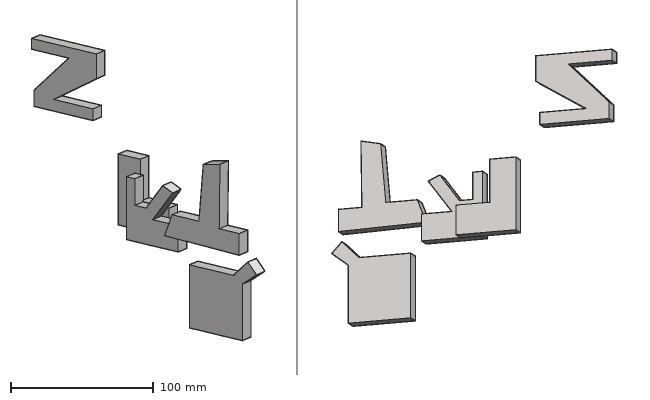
import cadquery as cq

thickness = 10.0


def plate(outline, x, y, z):
    """Extrude a closed XZ outline towards +Y and move its origin to (x, y, z)."""
    body = cq.Workplane("XZ").polyline(outline).close().extrude(-thickness)
    return body.translate((x, y, z))


def make_z_plate():
    """Z-shaped plate: two bars joined by a tapering diagonal."""
    width = 57.0
    height = 50.0
    top_bar = 8.0
    bottom_bar = 8.7
    foot_left = 2.2
    foot_right = 54.0
    left_shoulder = 12.0
    right_shoulder = 31.5
    upper_notch = 32.5
    lower_notch = 19.5
    outline = [
        (foot_left, 0),
        (foot_right, 0),
        (foot_right, bottom_bar),
        (lower_notch, bottom_bar),
        (width, right_shoulder),
        (width, height),
        (0, height),
        (0, height - top_bar),
        (upper_notch, height - top_bar),
        (foot_left, left_shoulder),
    ]
    return plate(outline, x=0, y=55.8, z=124.0)


def make_l_plate():
    """L-shaped plate: a tall post with a foot to the right."""
    width = 44.5
    height = 52.7
    post_width = 19.5
    foot_height = 21.5
    outline = [
        (0, 0),
        (width, 0),
        (width, foot_height),
        (post_width, foot_height),
        (post_width, height),
        (0, height),
    ]
    return plate(outline, x=67.7, y=67.0, z=46.5)


def make_k_plate():
    """K-shaped plate: a narrow post, a broad base and a slanted arm."""
    width = 45.5
    height = 46.6
    post_width = 7.5
    base_height = 19.5
    saddle_height = 27.0
    arm_root_left = 17.3
    arm_root_right = 23.0
    arm_tip_left = 31.8
    arm_tip_right = 40.5
    arm_tip_drop = 3.8
    outline = [
        (0, 0),
        (width, 0),
        (width, base_height),
        (arm_root_right, base_height),
        (arm_tip_right, height - arm_tip_drop),
        (arm_tip_left, height),
        (arm_root_left, saddle_height),
        (post_width, saddle_height),
        (post_width, height),
        (0, height),
    ]
    return plate(outline, x=108.7, y=22.0, z=56.0)


def make_t_plate():
    """Inverted-T plate: a leaning stem on a base with a sloping underside."""
    width = 65.5
    height = 64.0
    underside_rise = 1.3
    left_base_top = 18.2
    right_base_top = 16.1
    left_slant = 6.5
    stem_root_left = 30.0
    stem_root_right = 48.0
    stem_tip_left = 33.8
    stem_tip_right = 48.6
    stem_tip_drop = 3.1
    outline = [
        (0, underside_rise),
        (width, 0),
        (width, right_base_top),
        (stem_root_right, right_base_top),
        (stem_tip_right, height),
        (stem_tip_left, height - stem_tip_drop),
        (stem_root_left, left_base_top),
        (left_slant, left_base_top),
    ]
    return plate(outline, x=158.7, y=0, z=73.7)


def make_block_plate():
    """Nearly square plate with a slanted arm at its upper right corner."""
    width = 46.6
    height = 46.8
    arm_root_left = 38.5
    arm_root_right_height = 42.0
    arm_peak = (51.3, 59.5)
    arm_end = (59.0, 51.3)
    outline = [
        (0, 0),
        (width, 0),
        (width, arm_root_right_height),
        arm_end,
        arm_peak,
        (arm_root_left, height),
        (0, height),
    ]
    return plate(outline, x=160.7, y=26.2, z=0)


z_plate = make_z_plate()
l_plate = make_l_plate()
k_plate = make_k_plate()
t_plate = make_t_plate()
block_plate = make_block_plate()

result = cq.Compound.makeCompound([
    z_plate.val(),
    l_plate.val(),
    k_plate.val(),
    t_plate.val(),
    block_plate.val(),
])